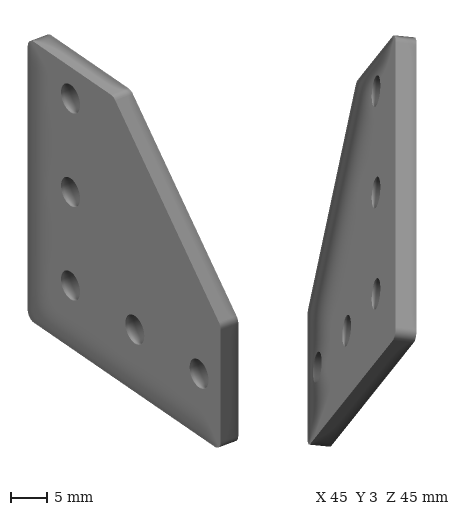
import cadquery as cq

side = 45.0
thickness = 3.0
short_edge = 20.0
corner_radius = 1.4
hole_diameter = 4.4
hole_inset = 10.0
hole_pitch = 15.0

outline = [(0, 0), (side, 0), (side, short_edge), (short_edge, side), (0, side)]
plate = (
    cq.Workplane("XZ")
    .polyline(outline)
    .close()
    .extrude(-thickness)
    .edges("|Y")
    .fillet(corner_radius)
)

near = hole_inset
middle = hole_inset + hole_pitch
far = hole_inset + 2 * hole_pitch
hole_centers = [(near, near), (middle, near), (far, near), (near, middle), (near, far)]
holes = (
    cq.Workplane("XZ")
    .pushPoints(hole_centers)
    .circle(hole_diameter / 2)
    .extrude(-thickness)
)

result = plate.cut(holes)